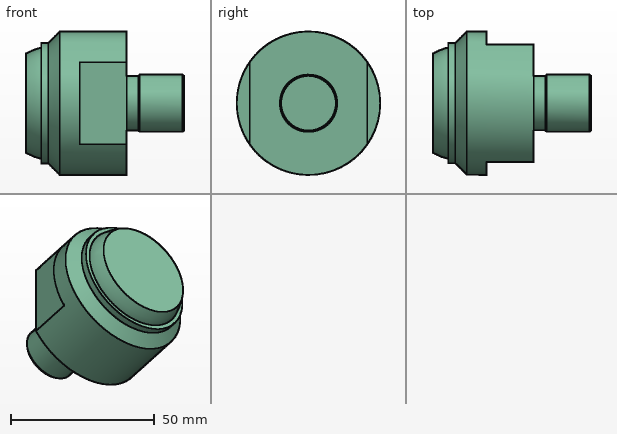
import cadquery as cq
import math

housing_length = 29.7
housing_radius = 25.0
collar_radius = 21.0
collar_length = 2.5
nose_chamfer = housing_radius - collar_radius
flat_spacing = 41.0
flat_length = 16.3

stud_length = 20.0
stud_radius = 10.0
stud_chamfer_depth = 0.5
stud_chamfer_length = 0.65
neck_radius = stud_radius - stud_chamfer_depth
neck_length = 4.0

ball_radius = 20.0
ball_flat_offset = 10.0
ball_flat_x = -35.0
ball_center_x = ball_flat_x + ball_flat_offset


def make_ball():
    """Sphere cut off by the contact face on its -X side."""
    flat_radius = math.sqrt(ball_radius**2 - ball_flat_offset**2)
    return (
        cq.Workplane("XY")
        .moveTo(ball_flat_x, 0)
        .lineTo(ball_flat_x, flat_radius)
        .threePointArc((ball_center_x, ball_radius), (ball_center_x + ball_radius, 0))
        .close()
        .revolve(360, (0, 0, 0), (1, 0, 0))
    )


def make_turned_housing():
    """Collar, conical nose, cylinder and stud as one turned profile."""
    front_x = -housing_length
    collar_end_x = front_x + collar_length
    return (
        cq.Workplane("XY")
        .moveTo(front_x, 0)
        .lineTo(front_x, collar_radius)
        .lineTo(collar_end_x, collar_radius)
        .lineTo(collar_end_x + nose_chamfer, housing_radius)
        .lineTo(0, housing_radius)
        .lineTo(0, neck_radius)
        .lineTo(neck_length, neck_radius)
        .lineTo(neck_length + stud_chamfer_length, stud_radius)
        .lineTo(stud_length - stud_chamfer_length, stud_radius)
        .lineTo(stud_length, stud_radius - stud_chamfer_depth)
        .lineTo(stud_length, 0)
        .close()
        .revolve(360, (0, 0, 0), (1, 0, 0))
    )


def cut_wrench_flats(body):
    """Two parallel flats, facing +Y and -Y, at the shoulder end."""
    flat_depth = housing_radius - flat_spacing / 2
    for side in (-1, 1):
        cutter = cq.Workplane("XY").box(flat_length, flat_depth, 2 * housing_radius)
        cutter_y = side * (flat_spacing + flat_depth) / 2
        body = body.cut(cutter.translate((-flat_length / 2, cutter_y, 0)))
    return body


ball = make_ball()
housing = cut_wrench_flats(make_turned_housing()).cut(ball)

result = cq.Compound.makeCompound([housing.val(), ball.val()])